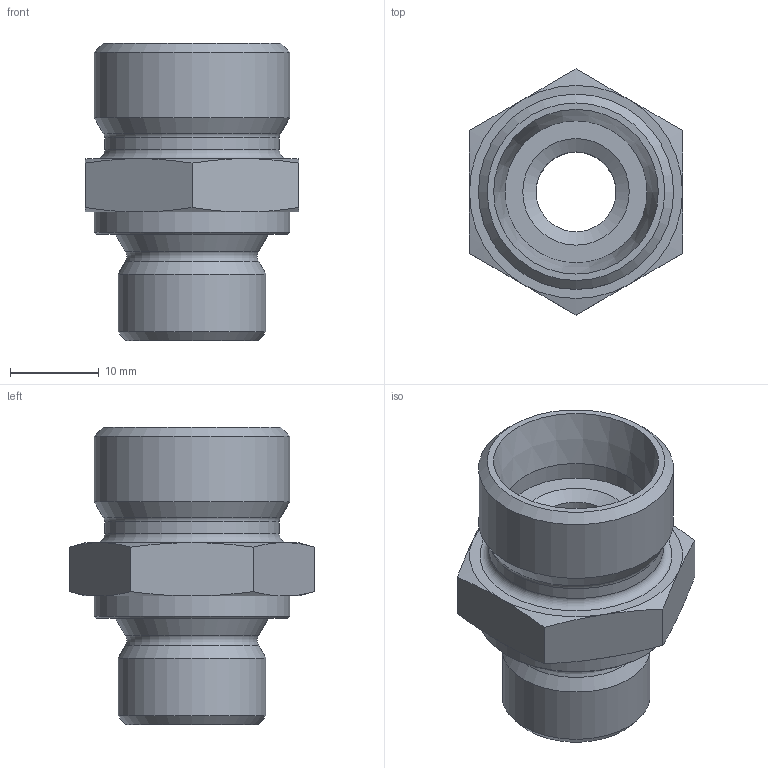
import cadquery as cq
import math

TOTAL_HEIGHT = 33.5
COLLAR_BOTTOM = 12.0
HEX_BOTTOM = 14.5
HEX_TOP = 20.5

HEX_SIDES = 6
HEX_ACROSS_FLATS = 24.0
HEX_CHAMFER_ANGLE = math.radians(15.0)

COLLAR_RADIUS = 11.0
COLLAR_CHAMFER = 0.2

UPPER_RADIUS = 22.0 / 2
UPPER_CHAMFER = 1.0
UPPER_SHOULDER_Z = 25.1
UPPER_NECK_RADIUS = 19.7 / 2
UPPER_NECK_BLEND = 1.0
UPPER_ROOT_FILLET = 1.0

LOWER_RADIUS = 16.66 / 2
LOWER_CHAMFER_WIDTH = 0.85
LOWER_CHAMFER_HEIGHT = 1.0
LOWER_SHOULDER_Z = 7.5
LOWER_NECK_RADIUS = 7.35
LOWER_NECK_BLEND = 1.1

FLANK_ANGLE = math.radians(30.0)

SEAT_HALF_ANGLE = math.radians(12.0)
SEAT_DEPTH = 6.0
SOCKET_RADIUS = 16.0 / 2
SOCKET_DEPTH = 8.0
BORE_RADIUS = 9.0 / 2
BORE_COUNTERSINK_RADIUS = 6.0
BORE_COUNTERSINK_HALF_ANGLE = math.radians(60.0)


def blend_arc(neck_radius, blend_radius, neck_z, direction):
    """Middle and end points of the arc that turns from an axial neck into a sloping flank."""
    def point(angle):
        r = neck_radius + blend_radius * (1 - math.cos(angle))
        return (r, neck_z + direction * blend_radius * math.sin(angle))

    return point(FLANK_ANGLE / 2), point(FLANK_ANGLE)


def flank_height(start_radius, end_radius):
    """Axial length of a flank between two radii."""
    return (end_radius - start_radius) / math.tan(FLANK_ANGLE)


def turned_body():
    """Spigots, undercuts and collar as one revolved profile."""
    lower_blend_growth = LOWER_NECK_BLEND * (1 - math.cos(FLANK_ANGLE))
    lower_blend_edge = LOWER_NECK_RADIUS + lower_blend_growth
    lower_neck_z = (
        LOWER_SHOULDER_Z
        + flank_height(lower_blend_edge, LOWER_RADIUS)
        + LOWER_NECK_BLEND * math.sin(FLANK_ANGLE)
    )
    _, lower_start = blend_arc(LOWER_NECK_RADIUS, LOWER_NECK_BLEND, lower_neck_z, -1)
    _, lower_end = blend_arc(LOWER_NECK_RADIUS, LOWER_NECK_BLEND, lower_neck_z, 1)
    lower_flank_rise = (COLLAR_BOTTOM - lower_end[1]) * math.tan(FLANK_ANGLE)
    lower_flank_top = lower_end[0] + lower_flank_rise

    upper_blend_growth = UPPER_NECK_BLEND * (1 - math.cos(FLANK_ANGLE))
    upper_neck_z = (
        UPPER_SHOULDER_Z
        - flank_height(UPPER_NECK_RADIUS + upper_blend_growth, UPPER_RADIUS)
        - UPPER_NECK_BLEND * math.sin(FLANK_ANGLE)
    )
    upper_mid, upper_end = blend_arc(UPPER_NECK_RADIUS, UPPER_NECK_BLEND, upper_neck_z, 1)
    root_offset = UPPER_ROOT_FILLET * (1 - math.sqrt(0.5))

    profile = (
        cq.Workplane("XZ")
        .moveTo(0, 0)
        .lineTo(LOWER_RADIUS - LOWER_CHAMFER_WIDTH, 0)
        .lineTo(LOWER_RADIUS, LOWER_CHAMFER_HEIGHT)
        .lineTo(LOWER_RADIUS, LOWER_SHOULDER_Z)
        .lineTo(*lower_start)
        .threePointArc((LOWER_NECK_RADIUS, lower_neck_z), lower_end)
        .lineTo(lower_flank_top, COLLAR_BOTTOM)
        .lineTo(COLLAR_RADIUS - COLLAR_CHAMFER, COLLAR_BOTTOM)
        .lineTo(COLLAR_RADIUS, COLLAR_BOTTOM + COLLAR_CHAMFER)
        .lineTo(COLLAR_RADIUS, HEX_TOP)
        .lineTo(UPPER_NECK_RADIUS + UPPER_ROOT_FILLET, HEX_TOP)
        .threePointArc(
            (UPPER_NECK_RADIUS + root_offset, HEX_TOP + root_offset),
            (UPPER_NECK_RADIUS, HEX_TOP + UPPER_ROOT_FILLET),
        )
        .lineTo(UPPER_NECK_RADIUS, upper_neck_z)
        .threePointArc(upper_mid, upper_end)
        .lineTo(UPPER_RADIUS, UPPER_SHOULDER_Z)
        .lineTo(UPPER_RADIUS, TOTAL_HEIGHT - UPPER_CHAMFER)
        .lineTo(UPPER_RADIUS - UPPER_CHAMFER, TOTAL_HEIGHT)
        .lineTo(0, TOTAL_HEIGHT)
        .close()
    )
    return profile.revolve(360, (0, 0, 0), (0, 1, 0))


def hexagon():
    """Hexagon with flats facing +X and -X, its corners turned off at both ends."""
    flat_radius = HEX_ACROSS_FLATS / 2
    corner_radius = flat_radius / math.cos(math.pi / HEX_SIDES)
    chamfer_height = (corner_radius - flat_radius) * math.tan(HEX_CHAMFER_ANGLE)
    prism = (
        cq.Workplane("XY")
        .workplane(offset=HEX_BOTTOM)
        .polygon(HEX_SIDES, 2 * corner_radius)
        .extrude(HEX_TOP - HEX_BOTTOM)
        .rotate((0, 0, 0), (0, 0, 1), 180 / HEX_SIDES)
    )
    envelope = (
        cq.Workplane("XZ")
        .moveTo(0, HEX_BOTTOM)
        .lineTo(flat_radius, HEX_BOTTOM)
        .lineTo(corner_radius, HEX_BOTTOM + chamfer_height)
        .lineTo(corner_radius, HEX_TOP - chamfer_height)
        .lineTo(flat_radius, HEX_TOP)
        .lineTo(0, HEX_TOP)
        .close()
        .revolve(360, (0, 0, 0), (0, 1, 0))
    )
    return prism.intersect(envelope)


def stepped_bore():
    """Conical seat, cylindrical socket, countersink and through bore."""
    seat_mouth_radius = SOCKET_RADIUS + SEAT_DEPTH * math.tan(SEAT_HALF_ANGLE)
    socket_floor = TOTAL_HEIGHT - SOCKET_DEPTH
    countersink_width = BORE_COUNTERSINK_RADIUS - BORE_RADIUS
    countersink_depth = countersink_width / math.tan(BORE_COUNTERSINK_HALF_ANGLE)
    return (
        cq.Workplane("XZ")
        .moveTo(0, 0)
        .lineTo(BORE_RADIUS, 0)
        .lineTo(BORE_RADIUS, socket_floor - countersink_depth)
        .lineTo(BORE_COUNTERSINK_RADIUS, socket_floor)
        .lineTo(SOCKET_RADIUS, socket_floor)
        .lineTo(SOCKET_RADIUS, TOTAL_HEIGHT - SEAT_DEPTH)
        .lineTo(seat_mouth_radius, TOTAL_HEIGHT)
        .lineTo(0, TOTAL_HEIGHT)
        .close()
        .revolve(360, (0, 0, 0), (0, 1, 0))
    )


result = turned_body().union(hexagon()).cut(stepped_bore())